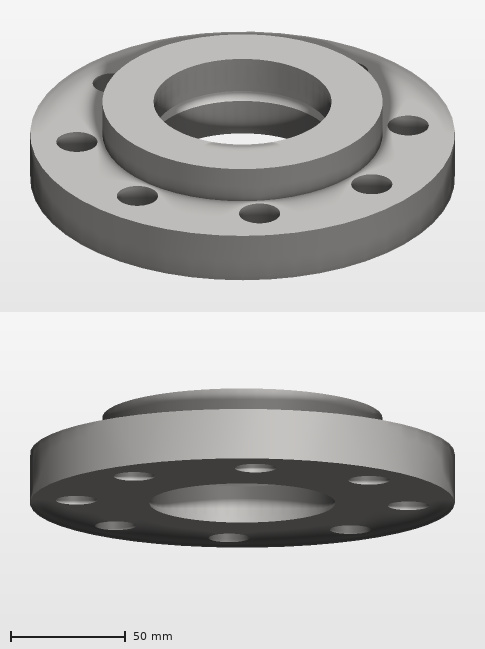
import cadquery as cq

total_height = 38.0
flange_diameter = 185.0
flange_thickness = 22.0

flange_bore_diameter = 81.0
bore_chamfer = 6.0

bolt_count = 8
bolt_hole_diameter = 18.0
bolt_circle_diameter = 145.0
first_bolt_angle = 360 / bolt_count / 2

collar_diameter = 122.1
collar_bore_diameter = 77.5
collar_height = total_height - flange_thickness


def ring(outer_diameter, inner_diameter, height, base_z):
    """Plain ring about the Z axis, standing on base_z."""
    return (
        cq.Workplane("XY", origin=(0, 0, base_z))
        .circle(outer_diameter / 2)
        .circle(inner_diameter / 2)
        .extrude(height)
    )


def bolt_holes():
    """Cutters for the bolt holes, through the flange thickness."""
    return (
        cq.Workplane("XY")
        .polarArray(bolt_circle_diameter / 2, first_bolt_angle, 360, bolt_count)
        .circle(bolt_hole_diameter / 2)
        .extrude(flange_thickness)
    )


def make_flange():
    """Bolted ring with a chamfer around the top of its bore."""
    blank = ring(flange_diameter, flange_bore_diameter, flange_thickness, 0)
    top_bore_edge = cq.selectors.RadiusNthSelector(0)
    chamfered = blank.faces(">Z").edges(top_bore_edge).chamfer(bore_chamfer)
    return chamfered.cut(bolt_holes())


def make_collar():
    """Plain ring lying on the top face of the flange."""
    return ring(collar_diameter, collar_bore_diameter, collar_height, flange_thickness)


flange = make_flange()
collar = make_collar()

result = cq.Compound.makeCompound([flange.val(), collar.val()])